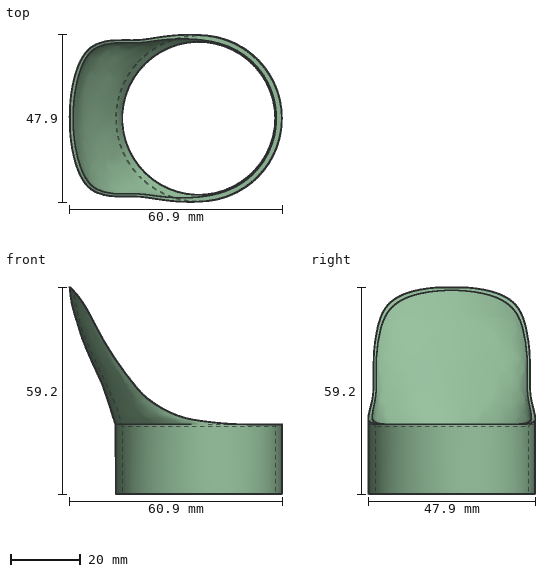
import cadquery as cq

outer_diameter = 47.7
bore_diameter = 43.7
collar_height = 20.0
outer_radius = outer_diameter / 2
bore_radius = bore_diameter / 2
mouth_bevel_width = 0.35
mouth_bevel_height = 0.6
mouth_radius = bore_radius + mouth_bevel_width
foot_chamfer = 0.2

total_height = 59.2
lip_reach = 37.0
lip_flat = 0.2
lip_wall = 0.9
side_wall = 0.7

upper_sections = [
    (21.1, 24.25, 21.9, 23.95, 1.8, 1.35),
    (29.9, 27.1, 12.15, 22.85, 1.35, side_wall),
    (37.1, 30.2, 8.8, 22.7, 1.1, side_wall),
    (44.6, 33.4, 7.9, 22.6, lip_wall, side_wall),
    (51.95, 35.75, 8.4, 22.6, lip_wall, side_wall),
    (total_height, lip_reach, 9.1, 22.6, lip_wall, side_wall),
]

rim_points = [
    (lip_flat - lip_reach, total_height),
    (-34.0, 56.0),
    (-28.05, 45.5),
    (-23.5, 38.15),
    (-19.8, 33.1),
    (-15.2, 27.85),
    (-10.65, 24.7),
    (-5.1, 22.2),
    (1.3, 20.9),
    (7.7, 20.25),
    (15.2, collar_height),
]
trim_margin = 6.1


def oval_wire(height, back_reach, back_depth, half_width, front_reach):
    """Closed oval of two half ellipses sharing their widest line."""
    centre_x = back_depth - back_reach
    centre = cq.Vector(centre_x, 0, height)
    up = cq.Vector(0, 0, 1)
    along_y = cq.Vector(0, 1, 0)

    def half_ellipse(x_radius, start, end):
        if x_radius > half_width:
            return cq.Edge.makeEllipse(
                x_radius, half_width, centre, up, cq.Vector(1, 0, 0), start, end
            )
        return cq.Edge.makeEllipse(
            half_width, x_radius, centre, up, along_y, start - 90, end - 90
        )

    back = half_ellipse(back_depth, 90, 270)
    front = half_ellipse(front_reach - centre_x, 270, 450)
    return cq.Wire.assembleEdges([back, front])


def outer_scoop():
    wires = [oval_wire(collar_height, outer_radius, outer_radius, outer_radius, outer_radius)]
    for height, reach, depth, half_width, _, _ in upper_sections:
        wires.append(oval_wire(height, reach, depth, half_width, outer_radius))
    return cq.Workplane(cq.Solid.makeLoft(wires))


def inner_scoop():
    wires = [oval_wire(collar_height, mouth_radius, mouth_radius, mouth_radius, mouth_radius)]
    for height, reach, depth, half_width, back_wall, wall in upper_sections:
        wires.append(
            oval_wire(height, reach - back_wall, depth - back_wall, half_width - wall, mouth_radius)
        )
    return cq.Workplane(cq.Solid.makeLoft(wires))


def rim_trim():
    """Block removing everything above the swept rim line."""
    far_x = outer_radius + trim_margin
    top = total_height + trim_margin
    return (
        cq.Workplane("XZ")
        .moveTo(*rim_points[0])
        .spline(rim_points[1:], includeCurrent=True)
        .lineTo(far_x, collar_height)
        .lineTo(far_x, top)
        .lineTo(rim_points[0][0], top)
        .close()
        .extrude(outer_radius + trim_margin, both=True)
    )


def collar():
    """Ring with a chamfered foot and a slightly flared mouth."""
    body = cq.Workplane("XY").circle(outer_radius).extrude(collar_height).faces("<Z").chamfer(foot_chamfer)
    bore = (
        cq.Workplane("XZ")
        .polyline([
            (0, 0),
            (bore_radius, 0),
            (bore_radius, collar_height - mouth_bevel_height),
            (mouth_radius, collar_height),
            (0, collar_height),
        ])
        .close()
        .revolve(360, (0, 0, 0), (0, 1, 0))
    )
    return body.cut(bore)


spout = outer_scoop().cut(inner_scoop()).cut(rim_trim())
result = collar().union(spout)